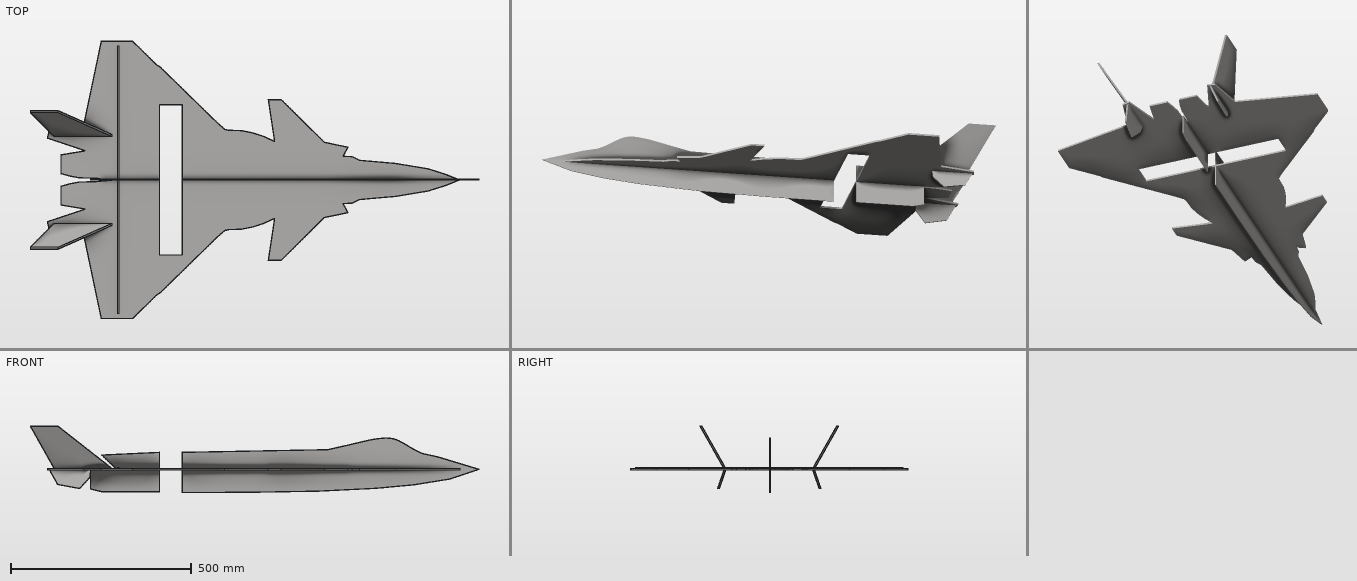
import cadquery as cq
import math

length = 1247.0
wing_thickness = 5.0
wing_top = wing_thickness / 2
fuselage_thickness = 3.0

half_span = 385.0
wing_nose_x = 1193.0
nose_edge = [(1152.0, 16.0), (1105.0, 31.0), (1014.0, 46.0), (914.0, 55.0)]
intake_edge = [(894.0, 65.0), (869.0, 66.0), (883.0, 91.0)]
canard_edge = [(817.0, 105.0), (697.0, 223.0), (661.0, 223.0), (678.0, 107.0)]
body_arc_middle = (635.0, 126.0)
body_arc_end = (587.0, 137.0)
leading_edge = [(550.0, 138.0), (540.0, 141.0), (519.0, 160.0), (362.0, 313.0), (350.0, 320.0), (284.0, half_span)]
trailing_edge = [(197.0, half_span), (150.0, 160.0)]
tail_boom_edge = [(52.0, 137.0), (47.0, 116.0), (152.0, 81.0)]
nozzle_edge = [(85.0, 70.0), (85.0, 17.0), (112.0, 10.0), (136.0, 5.6), (183.0, 4.4)]
slit_end_x = 228.0

window_rear_x = 359.0
window_front_x = 421.0
window_half_width = 208.0
rear_slot_end_x = 299.0

spar_diameter = 5.4
spar_x = 245.0
spar_length = 743.0

rear_lower_x = 167.0
rear_upper_x = 198.0
rear_top_z = 40.0
belly_z = -62.0
window_top_z = 47.0
rear_slope_foot_x = 237.0
front_belly_z = -65.0
canopy_start = (827.0, 55.0)
canopy_curve = [(872.0, 65.0), (961.0, 85.0), (1009.0, 85.0), (1047.0, 66.0), (1091.0, 44.0)]
nose_top = (1131.0, 35.0)
nose_tip = (length, 0)
nose_bottom = (1165.0, -27.0)
belly_curve = [(1062.0, -44.0), (950.0, -54.0), (797.0, -61.0), (window_front_x, front_belly_z)]

fin_root_y = 123.0
fin_thickness = 5.0
upper_fin_angle = 29.5
lower_fin_angle = 19.0
upper_fin_tip_z = 120.0
upper_fin_outline = [(0, upper_fin_tip_z), (77.0, upper_fin_tip_z), (227.0, wing_top), (66.0, wing_top)]
lower_fin_outline = [(54.0, -wing_top), (76.0, -42.0), (137.0, -54.0), (166.0, -22.0), (167.0, -wing_top)]


def make_half_wing():
    outline = cq.Workplane("XY", origin=(0, 0, -wing_top)).moveTo(wing_nose_x, 0)
    for point in nose_edge + intake_edge + canard_edge:
        outline = outline.lineTo(*point)
    outline = outline.threePointArc(body_arc_middle, body_arc_end)
    for point in leading_edge + trailing_edge + tail_boom_edge + nozzle_edge:
        outline = outline.lineTo(*point)
    outline = outline.lineTo(slit_end_x, 0)
    return outline.close().extrude(wing_thickness)


def make_opening(start_x, end_x, start_y, end_y):
    """Rectangular cutter that passes through the wing."""
    return (
        cq.Workplane("XY")
        .box(end_x - start_x, end_y - start_y, 2 * wing_thickness)
        .translate(((start_x + end_x) / 2, (start_y + end_y) / 2, 0))
    )


def make_spar():
    return (
        cq.Workplane("XZ", origin=(spar_x, 0, wing_top))
        .circle(spar_diameter / 2)
        .extrude(spar_length / 2, both=True)
    )


def make_wing(spar):
    half_wing = make_half_wing()
    wing = half_wing.union(half_wing.mirror("XZ"))
    wing = wing.cut(make_opening(window_rear_x, window_front_x, -window_half_width, window_half_width))
    wing = wing.cut(make_opening(rear_lower_x, rear_slot_end_x, 0, fuselage_thickness))
    return wing.cut(spar)


def make_rear_fuselage(wing, spar):
    """Rear vertical sheet, interlocked with the wing slot and pierced by the spar."""
    outline = [
        (rear_lower_x, wing_top),
        (rear_lower_x, -55.0),
        (rear_upper_x, belly_z),
        (window_rear_x, belly_z),
        (window_rear_x, window_top_z),
        (rear_upper_x, rear_top_z),
        (rear_slope_foot_x, wing_top),
    ]
    sheet = cq.Workplane("XZ").polyline(outline).close().extrude(-fuselage_thickness)
    return sheet.cut(wing).cut(spar)


def make_front_fuselage(wing):
    """Front vertical sheet, with a notch that slides over the wing from behind."""
    sheet = (
        cq.Workplane("XZ")
        .moveTo(window_front_x, window_top_z)
        .lineTo(*canopy_start)
        .spline(canopy_curve, includeCurrent=True)
        .lineTo(*nose_top)
        .lineTo(*nose_tip)
        .lineTo(*nose_bottom)
        .spline(belly_curve, includeCurrent=True)
        .close()
        .extrude(-fuselage_thickness)
    )
    return sheet.cut(wing)


def make_fin(outline, angle, side):
    """Sheet leaning outwards by angle from vertical, trimmed to its side outline."""
    root_z = outline[-1][1]
    far_z = max((z for x, z in outline), key=abs)
    lean = abs(far_z - root_z) * math.tan(math.radians(angle))
    half_width = fin_thickness / math.cos(math.radians(angle)) / 2
    section = [
        (side * (fin_root_y - half_width), root_z),
        (side * (fin_root_y + half_width), root_z),
        (side * (fin_root_y + lean + half_width), far_z),
        (side * (fin_root_y + lean - half_width), far_z),
    ]
    leaning_sheet = cq.Workplane("YZ").polyline(section).close().extrude(length)
    side_shape = cq.Workplane("XZ").polyline(outline).close().extrude(half_span, both=True)
    return leaning_sheet.intersect(side_shape)


spar = make_spar()
wing = make_wing(spar)
rear_fuselage = make_rear_fuselage(wing, spar)
front_fuselage = make_front_fuselage(wing)

upper_fins = []
lower_fins = []
for side in (-1, 1):
    upper_fins.append(make_fin(upper_fin_outline, upper_fin_angle, side).val())
    lower_fins.append(make_fin(lower_fin_outline, lower_fin_angle, side).val())

bodies = [wing.val(), spar.val(), rear_fuselage.val(), front_fuselage.val()]
result = cq.Compound.makeCompound(bodies + upper_fins + lower_fins)